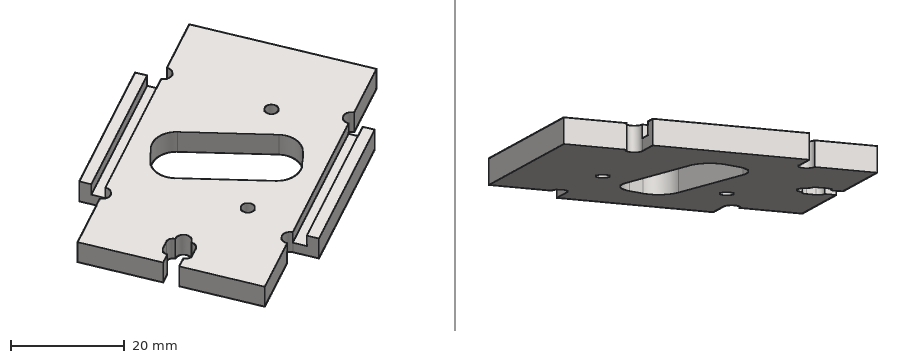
import cadquery as cq

total_width = 44.6
length = 59.5
thickness = 4.8

plate_width = 34.85
rail_length = length / 2
rail_wall = 2.25
channel_floor = 2.3
notch_radius = 1.5

window_length = 26.8
window_width = 11.9
window_corner_radius = 4.45
window_angle = 17.0
window_center_y = -0.25

hole_diameter = 2.5
hole_centers = [(3.45, 13.8), (7.9, -11.55)]

neck_width = 3.0
neck_length = 6.55
pocket_width = 5.5
pocket_height = 4.3
pocket_start = 2.2
pocket_corner_radius = 1.25


def block(width, depth, height):
    """Box centred on X and Y with its base on Z = 0."""
    return cq.Workplane("XY").box(width, depth, height, centered=(True, True, False))


def make_body():
    """Plate between two rails, each with an open channel beside the plate."""
    plate = block(plate_width, length, thickness)
    floor = block(total_width, rail_length, channel_floor)
    body = plate.union(floor)
    wall_center = (total_width - rail_wall) / 2
    for side in (-1, 1):
        wall = block(rail_wall, rail_length, thickness)
        body = body.union(wall.translate((side * wall_center, 0, 0)))
    return body


def make_notches():
    """Half-round notches in the plate edges, touching the rail ends."""
    notch_x = plate_width / 2
    notch_y = rail_length / 2 + notch_radius
    centers = [(x, y) for x in (-notch_x, notch_x) for y in (-notch_y, notch_y)]
    return cq.Workplane("XY").pushPoints(centers).circle(notch_radius).extrude(thickness)


def make_window():
    window = block(window_length, window_width, thickness).edges("|Z").fillet(window_corner_radius)
    return window.rotate((0, 0, 0), (0, 0, 1), window_angle).translate((0, window_center_y, 0))


def make_holes():
    return cq.Workplane("XY").pushPoints(hole_centers).circle(hole_diameter / 2).extrude(thickness)


def make_keyhole():
    """Round-ended neck crossing a wider pocket with rounded corners."""
    front = -length / 2
    neck_end = front + neck_length
    neck = block(neck_width, neck_length, thickness).translate((0, front + neck_length / 2, 0))
    round_end = cq.Workplane("XY").center(0, neck_end).circle(neck_width / 2).extrude(thickness)
    pocket = block(pocket_width, pocket_height, thickness).edges("|Z").fillet(pocket_corner_radius)
    pocket_center_y = front + pocket_start + pocket_height / 2
    return neck.union(round_end).union(pocket.translate((0, pocket_center_y, 0)))


result = (
    make_body()
    .cut(make_notches())
    .cut(make_window())
    .cut(make_holes())
    .cut(make_keyhole())
)